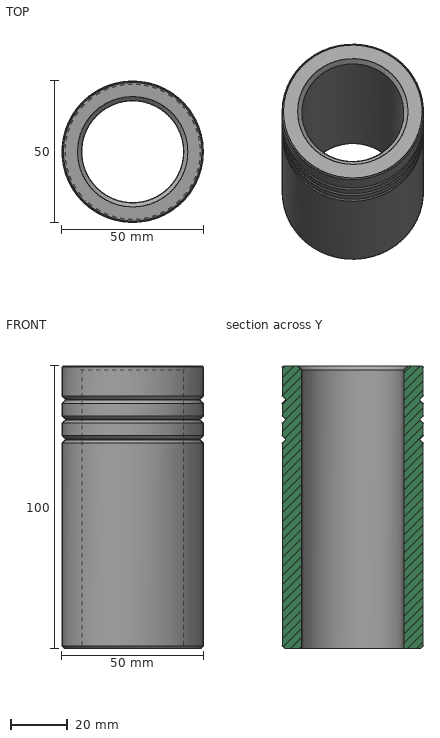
import cadquery as cq

length = 100.0
outer_radius = 25.0
bore_radius = 18.0
top_chamfer = 0.5
bottom_chamfer = 1.0
bore_chamfer = 1.5

groove_count = 3
groove_width = 2.6
groove_floor_width = 0.3
groove_depth = (groove_width - groove_floor_width) / 2
first_groove_drop = 12.0
groove_pitch = 7.0


def make_sleeve():
    """Hollow cylinder with chamfered outer rims and a bore lead-in at the top."""
    body = cq.Workplane("XY").circle(outer_radius).extrude(length)
    body = body.faces(">Z").edges().chamfer(top_chamfer)
    body = body.faces("<Z").edges().chamfer(bottom_chamfer)
    body = body.faces(">Z").workplane().circle(bore_radius).cutThruAll()
    bore_rim = cq.selectors.RadiusNthSelector(0)
    return body.faces(">Z").edges(bore_rim).chamfer(bore_chamfer)


def groove_ring(z):
    """Trapezoidal ring that cuts one groove centred at height z."""
    floor_radius = outer_radius - groove_depth
    profile = [
        (floor_radius, z - groove_floor_width / 2),
        (floor_radius, z + groove_floor_width / 2),
        (outer_radius, z + groove_width / 2),
        (outer_radius, z - groove_width / 2),
    ]
    return cq.Workplane("XZ").polyline(profile).close().revolve(360, (0, 0), (0, 1))


result = make_sleeve()
for index in range(groove_count):
    result = result.cut(groove_ring(length - first_groove_drop - index * groove_pitch))